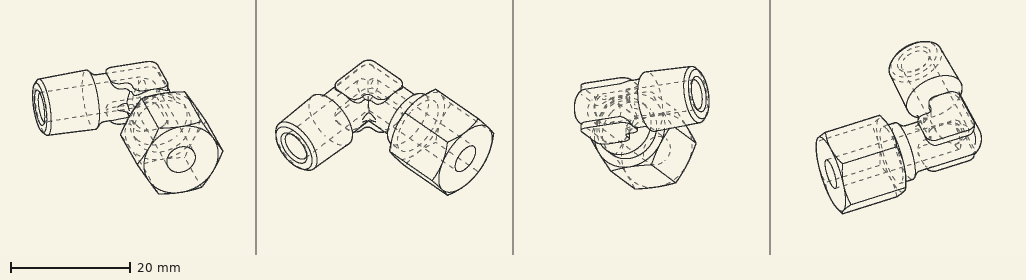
import cadquery as cq
import math

TUBE_RADIUS = 4.0
BORE_RADIUS = 2.5
DRILL_TIP_ANGLE = 120.0
ELBOW_CORNER_ROUND = 2.5

SHOULDER_ROUND = 1.5
SHOULDER_ANGLE = math.radians(45)

MALE_END = 18.0
TAPER_START = 9.05
TAPER_START_RADIUS = 5.05
TAPER_SLOPE = 1 / 32
MALE_CHAMFER = 0.6
MOUTH_CHAMFER = 0.5

COLLAR_START = 9.25
COLLAR_RADIUS = 5.0
NUT_LENGTH = 11.0
NUT_START = 11.52
NUT_END = NUT_START + NUT_LENGTH
NUT_ACROSS_FLATS = 13.0
NUT_CHAMFER_ANGLE = math.radians(30)

PAD_HEIGHT = TUBE_RADIUS
PAD_HALF_WIDTH_X = 2.75
PAD_HALF_WIDTH_Y = 3.0
PAD_REACH = 6.0
PAD_CORNER_ROUND = 1.5
PAD_INNER_ROUND = 1.0

WEB_INNER_RADIUS = 2.0
WEB_TUBE_RADIUS = 0.75


def along_x(body):
    """Turn a body built along -Y so that it runs along +X."""
    return body.rotate((0, 0, 0), (0, 0, 1), 90)


def revolve_about_y(profile):
    """Close a half profile that starts and ends on the Y axis and turn it into a solid."""
    return profile.close().revolve(360, (0, 0, 0), (0, 1, 0))


def leg_to_shoulder(shoulder_radius, shoulder_end):
    """Half profile (radius, -distance) of a tube that widens to the shoulder radius."""
    arc_rise = SHOULDER_ROUND * (1 - math.cos(SHOULDER_ANGLE))
    arc_run = SHOULDER_ROUND * math.sin(SHOULDER_ANGLE)
    cone_run = (shoulder_radius - TUBE_RADIUS - arc_rise) / math.tan(SHOULDER_ANGLE)
    arc_start = shoulder_end - cone_run - arc_run
    half_angle = SHOULDER_ANGLE / 2
    arc_middle = (
        TUBE_RADIUS + SHOULDER_ROUND * (1 - math.cos(half_angle)),
        -arc_start - SHOULDER_ROUND * math.sin(half_angle),
    )
    return (
        cq.Workplane("XY")
        .lineTo(TUBE_RADIUS, 0)
        .lineTo(TUBE_RADIUS, -arc_start)
        .threePointArc(arc_middle, (TUBE_RADIUS + arc_rise, -arc_start - arc_run))
        .lineTo(shoulder_radius, -shoulder_end)
    )


def make_male_leg():
    chamfer_start = MALE_END - MALE_CHAMFER
    end_radius = TAPER_START_RADIUS - TAPER_SLOPE * (chamfer_start - TAPER_START)
    profile = (
        leg_to_shoulder(TAPER_START_RADIUS, TAPER_START)
        .lineTo(end_radius, -chamfer_start)
        .lineTo(end_radius - MALE_CHAMFER, -MALE_END)
        .lineTo(0, -MALE_END)
    )
    return revolve_about_y(profile)


def make_collar_leg():
    profile = (
        leg_to_shoulder(COLLAR_RADIUS, COLLAR_START)
        .lineTo(COLLAR_RADIUS, -NUT_START)
        .lineTo(0, -NUT_START)
    )
    return along_x(revolve_about_y(profile))


def make_nut():
    """Hexagon with flats facing +Z and -Z, both ends turned to a chamfer that touches the flats."""
    corner_radius = NUT_ACROSS_FLATS / 2 / math.cos(math.pi / 6)
    face_radius = NUT_ACROSS_FLATS / 2
    chamfer_length = (corner_radius - face_radius) * math.tan(NUT_CHAMFER_ANGLE)
    hexagon = (
        cq.Workplane("YZ", origin=(NUT_START, 0, 0))
        .polygon(6, 2 * corner_radius)
        .extrude(NUT_LENGTH)
    )
    turned_profile = (
        cq.Workplane("XY")
        .moveTo(0, -NUT_START)
        .lineTo(face_radius, -NUT_START)
        .lineTo(corner_radius, -NUT_START - chamfer_length)
        .lineTo(corner_radius, -NUT_END + chamfer_length)
        .lineTo(face_radius, -NUT_END)
        .lineTo(0, -NUT_END)
    )
    return hexagon.intersect(along_x(revolve_about_y(turned_profile)))


def make_elbow_corner():
    """Outer corner: the common volume of a round-ended Y tube and the X tube."""
    round_ended = (
        cq.Workplane("XZ", origin=(0, TUBE_RADIUS, 0))
        .circle(TUBE_RADIUS)
        .extrude(2 * TUBE_RADIUS)
        .faces(">Y")
        .edges()
        .fillet(ELBOW_CORNER_ROUND)
    )
    cross_tube = (
        cq.Workplane("YZ", origin=(-TUBE_RADIUS, 0, 0))
        .circle(TUBE_RADIUS)
        .extrude(2 * TUBE_RADIUS)
    )
    return round_ended.intersect(cross_tube)


def make_pads():
    outline = [
        (-PAD_HALF_WIDTH_X, PAD_HALF_WIDTH_Y),
        (PAD_REACH, PAD_HALF_WIDTH_Y),
        (PAD_REACH, -PAD_HALF_WIDTH_Y),
        (PAD_HALF_WIDTH_X, -PAD_HALF_WIDTH_Y),
        (PAD_HALF_WIDTH_X, -PAD_REACH),
        (-PAD_HALF_WIDTH_X, -PAD_REACH),
    ]
    block = cq.Workplane("XY").polyline(outline).close().extrude(PAD_HEIGHT, both=True)
    inner_corner = cq.selectors.NearestToPointSelector((PAD_HALF_WIDTH_X, -PAD_HALF_WIDTH_Y, 0))
    block = block.edges("|Z").edges(inner_corner).fillet(PAD_INNER_ROUND)
    sharp_corners = (
        block.edges("|Z and <X")
        .add(block.edges("|Z and >X"))
        .add(block.faces("<Y").edges("|Z and >X"))
    )
    return sharp_corners.fillet(PAD_CORNER_ROUND)


def make_web():
    """Quarter ring that touches both tubes tangentially in the inner corner."""
    centre = TUBE_RADIUS + WEB_INNER_RADIUS
    ring_radius = WEB_INNER_RADIUS + WEB_TUBE_RADIUS
    return (
        cq.Workplane("YZ", origin=(centre, -centre, 0))
        .center(ring_radius, 0)
        .circle(WEB_TUBE_RADIUS)
        .revolve(90, (-ring_radius, 0, 0), (-ring_radius, 1, 0))
    )


def make_bore(length):
    """Drilled hole along -Y whose conical tip lies beyond the origin."""
    tip_depth = BORE_RADIUS / math.tan(math.radians(DRILL_TIP_ANGLE / 2))
    profile = (
        cq.Workplane("XY")
        .moveTo(0, tip_depth)
        .lineTo(BORE_RADIUS, 0)
        .lineTo(BORE_RADIUS, -length)
        .lineTo(0, -length)
    )
    return revolve_about_y(profile)


def make_mouth_chamfer():
    profile = (
        cq.Workplane("XY")
        .moveTo(0, -MALE_END)
        .lineTo(BORE_RADIUS + MOUTH_CHAMFER, -MALE_END)
        .lineTo(BORE_RADIUS, -MALE_END + MOUTH_CHAMFER)
        .lineTo(0, -MALE_END + MOUTH_CHAMFER)
    )
    return revolve_about_y(profile)


body = make_elbow_corner().union(make_male_leg()).union(make_collar_leg())
body = body.union(make_pads()).union(make_web()).union(make_nut())
bores = make_bore(MALE_END).union(along_x(make_bore(NUT_END)))
result = body.cut(bores).cut(make_mouth_chamfer())